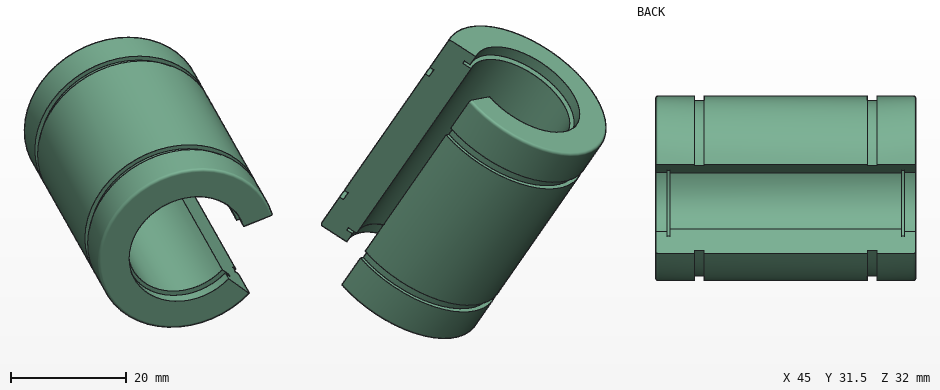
import cadquery as cq
import math

length = 45.0
outer_radius = 32.0 / 2
bore_radius = 10.0
edge_radius = 0.5

recess_radius = 10.55
recess_depth = 2.5

undercut_radius = 11.7
undercut_width = 0.55

groove_radius = 15.2
groove_width = 1.6
groove_setback = 6.75

gap_start_angle = -45.0
gap_end_angle = 15.0


def ring(outer, inner, start, width):
    """Tube along X from start to start + width."""
    return cq.Workplane("YZ", origin=(start, 0, 0)).circle(outer).circle(inner).extrude(width)


def gap_wedge():
    """Wedge with its tip on the axis, reaching beyond the outer surface."""
    reach = 2 * outer_radius
    corners = [(0, 0)]
    for angle in (gap_start_angle, gap_end_angle):
        radians = math.radians(angle)
        corners.append((reach * math.cos(radians), reach * math.sin(radians)))
    return cq.Workplane("YZ", origin=(-length / 2, 0, 0)).polyline(corners).close().extrude(length)


body = cq.Workplane("YZ", origin=(-length / 2, 0, 0)).circle(outer_radius).extrude(length)
body = body.edges("%CIRCLE").fillet(edge_radius)
bore = cq.Workplane("YZ", origin=(-length / 2, 0, 0)).circle(bore_radius).extrude(length)
body = body.cut(bore)

for start in (-length / 2, length / 2 - recess_depth):
    body = body.cut(ring(recess_radius, bore_radius, start, recess_depth))

undercut_setback = recess_depth - undercut_width
for start in (-length / 2 + undercut_setback, length / 2 - recess_depth):
    body = body.cut(ring(undercut_radius, bore_radius, start, undercut_width))

cutter_radius = outer_radius + edge_radius
for start in (-length / 2 + groove_setback, length / 2 - groove_setback - groove_width):
    body = body.cut(ring(cutter_radius, groove_radius, start, groove_width))

result = body.cut(gap_wedge())